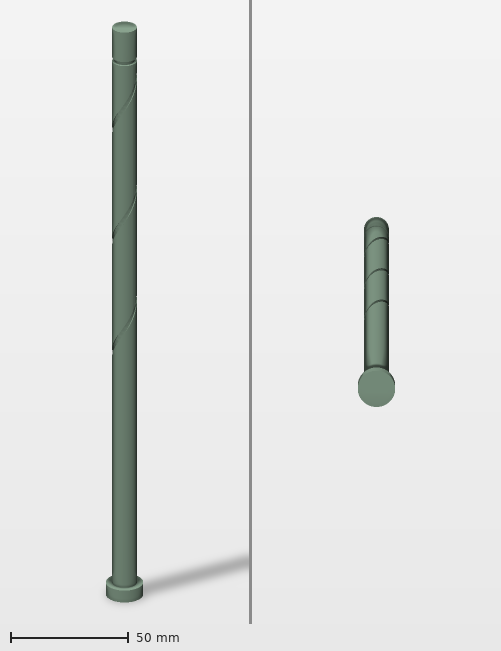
import cadquery as cq

total_length = 270
head_diameter = 16.0
head_height = 5.7
shaft_diameter = 10.5
shaft_radius = shaft_diameter / 2

ring_width = 2.0
ring_depth = 1.0
ring_to_tip = 14.0
ring_center_z = total_length - ring_to_tip - ring_width / 2

helix_pitch = 53.0
helix_turns = 3
helix_length = helix_pitch * helix_turns
helix_top_z = ring_center_z - ring_width / 2
helix_bottom_z = helix_top_z - helix_length
helix_width = 2.0
helix_depth = 0.5
helix_start_angle = 90
cutter_overhang = 0.5


def make_pin():
    head = cq.Workplane("XY").circle(head_diameter / 2).extrude(head_height)
    shaft = cq.Workplane("XY").circle(shaft_radius).extrude(total_length)
    return head.union(shaft)


def make_ring_cutter():
    return (
        cq.Workplane("XY")
        .workplane(offset=ring_center_z - ring_width / 2)
        .circle(shaft_radius + cutter_overhang)
        .circle(shaft_radius - ring_depth)
        .extrude(ring_width)
    )


def make_helix_cutter():
    """Rectangular section swept along a right-handed helix, square to the path."""
    path = cq.Workplane(cq.Wire.makeHelix(helix_pitch, helix_length, shaft_radius))
    start = cq.Plane(
        origin=path.val().startPoint().toTuple(),
        xDir=(1, 0, 0),
        normal=path.val().tangentAt(0).toTuple(),
    )
    radial_middle = (cutter_overhang - helix_depth) / 2
    cutter = (
        cq.Workplane(start)
        .center(radial_middle, 0)
        .rect(helix_depth + cutter_overhang, helix_width)
        .sweep(path, isFrenet=True)
    )
    return cutter.rotate((0, 0, 0), (0, 0, 1), helix_start_angle).translate((0, 0, helix_bottom_z))


result = make_pin().cut(make_helix_cutter()).cut(make_ring_cutter())